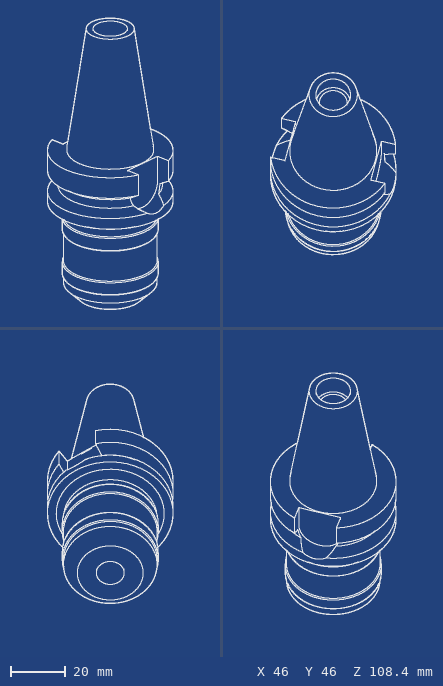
import cadquery as cq

total_height = 108.4

taper_ratio = 7 / 24
gauge_height = 59.9
gauge_diameter = 31.8
gauge_radius = gauge_diameter / 2
taper_tip_radius = gauge_radius - (total_height - gauge_height) * taper_ratio / 2

flange_radius = 23.0
flange_top = 59.0
flange_bottom = 38.0
groove_radius = 19.1
groove_top = 50.6
groove_floor_top = 48.1
groove_floor_bottom = 44.7
groove_bottom = 42.4
neck_cone_radius = 19.7
neck_cone_bottom = 35.1

nose_radius = 17.1
nose_end_radius = 12.0
nose_chamfer_height = 5.1
band_radius = 17.6
band_spans = ((8.8, 13.5), (26.7, 31.7))
band_slope = 0.4

bore_radius = 5.1
counterbore_radius = 6.3
counterbore_depth = 7.6

slot_width = 16.0
slot_floor_x = 16.2
slot_bottom = 41.1
slot_round_center = slot_bottom + slot_width / 2


def make_body():
    """Revolve the outer profile, listed from the lower end upwards."""
    points = [(0, 0), (nose_end_radius, 0), (nose_radius, nose_chamfer_height)]
    for bottom, top in band_spans:
        points += [
            (nose_radius, bottom - band_slope),
            (band_radius, bottom),
            (band_radius, top),
            (nose_radius, top + band_slope),
        ]
    points += [
        (nose_radius, neck_cone_bottom),
        (neck_cone_radius, flange_bottom),
        (flange_radius, flange_bottom),
        (flange_radius, groove_bottom),
        (groove_radius, groove_floor_bottom),
        (groove_radius, groove_floor_top),
        (flange_radius, groove_top),
        (flange_radius, flange_top),
        (gauge_radius, flange_top),
        (gauge_radius, gauge_height),
        (taper_tip_radius, total_height),
        (0, total_height),
    ]
    return cq.Workplane("XZ").polyline(points).close().revolve(360, (0, 0), (0, 1))


def make_drive_slot():
    """Cutter for the +X slot: open at the top, with a half-round lower end."""
    half_width = slot_width / 2
    return (
        cq.Workplane("YZ", origin=(slot_floor_x, 0, 0))
        .moveTo(-half_width, flange_top)
        .lineTo(-half_width, slot_round_center)
        .threePointArc((0, slot_bottom), (half_width, slot_round_center))
        .lineTo(half_width, flange_top)
        .close()
        .extrude(flange_radius)
    )


def make_bore():
    """Through bore with a counterbore at the taper end."""
    bore = cq.Workplane("XY").circle(bore_radius).extrude(total_height)
    counterbore = (
        cq.Workplane("XY", origin=(0, 0, total_height))
        .circle(counterbore_radius)
        .extrude(-counterbore_depth)
    )
    return bore.union(counterbore)


slot = make_drive_slot()
result = make_body().cut(slot).cut(slot.mirror("YZ")).cut(make_bore())